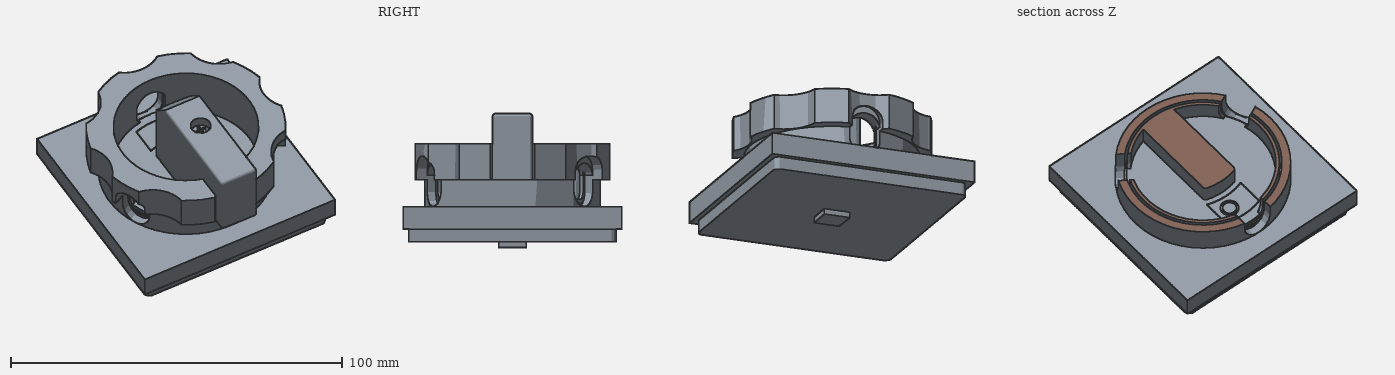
import cadquery as cq
import math

LOWER_PLATE_Z = 1.7
PLATE_Z = 5.6
DRUM_Z = 12.35
FLOOR_Z = 14.65
RING_Z = 20.45
RING_TOP_Z = 31.35
TOP_Z = 40.5

PLATE_SIZE = 66.0
LOWER_PLATE_SIZE = 62.65
LOWER_PLATE_CORNER_RADIUS = 2.0
TAB_SIZE = 8.3

DRUM_RADIUS = 26.5
RING_RADIUS = 30.1
BORE_RADIUS = 21.9
SCALLOP_COUNT = 8
SCALLOP_RADIUS = 10.75
SCALLOP_VALLEY_RADIUS = 27.05

SLOT_DIRECTIONS = (180, 55, -65)
SLOT_WIDTH = 9.9
SLOT_BOTTOM_Z = 12.4
SLOT_TOP_Z = 27.6
INNER_SLOT_BOTTOM_Z = 13.2
INNER_SLOT_TOP_Z = 25.5
INNER_SLOT_END_DIAMETER = 10.4

GAP_OUTER_RADIUS = 23.75
GAP_INNER_RADIUS = 23.1
GAP_BOTTOM_Z = 13.45
GAP_TOP_Z = 22.8

GRIP_WIDTH = 12.15
GRIP_NOSE_X = -9.1
GRIP_NOSE_RADIUS = 19.8
GRIP_NOSE_Z = 33.1
GRIP_END_X = PLATE_SIZE / 2
GRIP_EDGE_RADIUS = 1.1

SCREW_X = 9.0
SCREW_HOLE_RADIUS = 3.05
SCREW_RIM_DEPTH = 3.2
SCREW_DOME_HEIGHT = 1.4
CROSS_LENGTH = 3.3
CROSS_WIDTH = 0.65
CROSS_DEPTH = 0.8

LABEL_LEFT_X = -19.85
LABEL_RIGHT_X = -11.0
LABEL_WIDTH = 13.2
LABEL_SIDE_RADIUS = 19.8
LABEL_HEIGHT = 0.2
MARK_X = -15.2
MARK_Y = 2.05
MARK_OUTER_RADIUS = 2.8
MARK_INNER_RADIUS = 2.1


def cylinder(radius, z_bottom, z_top):
    return cq.Workplane("XY").workplane(offset=z_bottom).circle(radius).extrude(z_top - z_bottom)


def square_block(size, z_bottom, z_top):
    return cq.Workplane("XY").workplane(offset=z_bottom).rect(size, size).extrude(z_top - z_bottom)


def arc_sag(radius, chord):
    """Height of a circular arc over its chord."""
    return radius - math.sqrt(radius**2 - (chord / 2) ** 2)


def make_base():
    lower_plate = square_block(LOWER_PLATE_SIZE, LOWER_PLATE_Z, PLATE_Z)
    lower_plate = lower_plate.edges("|Z").fillet(LOWER_PLATE_CORNER_RADIUS)
    tab = square_block(TAB_SIZE, 0, LOWER_PLATE_Z)
    return square_block(PLATE_SIZE, PLATE_Z, DRUM_Z).union(lower_plate).union(tab)


def make_ring():
    """Hand ring with evenly spaced finger scallops."""
    scallops = (
        cq.Workplane("XY")
        .workplane(offset=RING_Z)
        .polarArray(SCALLOP_VALLEY_RADIUS + SCALLOP_RADIUS, 0, 360, SCALLOP_COUNT)
        .circle(SCALLOP_RADIUS)
        .extrude(RING_TOP_Z - RING_Z)
    )
    return cylinder(RING_RADIUS, RING_Z, RING_TOP_Z).cut(scallops)


def radial_slot(width, z_bottom, z_top, r_end):
    """Upright round-ended bar along +X, from the axis to r_end."""
    return (
        cq.Workplane("YZ")
        .center(0, (z_bottom + z_top) / 2)
        .slot2D(z_top - z_bottom, width, 90)
        .extrude(r_end)
    )


def make_slot_cutter():
    """Tall slot through the ring and drum wall, lower slot with flatter ends through to the bore."""
    tall_slot = radial_slot(SLOT_WIDTH, SLOT_BOTTOM_Z, SLOT_TOP_Z, PLATE_SIZE / 2)
    flatter_bar = radial_slot(INNER_SLOT_END_DIAMETER, INNER_SLOT_BOTTOM_Z, INNER_SLOT_TOP_Z, DRUM_RADIUS)
    inner_slot = tall_slot.intersect(flatter_bar).intersect(cylinder(DRUM_RADIUS, FLOOR_Z, TOP_Z))
    kept_core = cylinder(GAP_OUTER_RADIUS, 0, RING_Z).union(cylinder(DRUM_RADIUS, RING_Z, TOP_Z))
    return tall_slot.cut(kept_core).union(inner_slot)


def make_knob():
    """Drum and ring with a blind bore, a hidden clearance gap and the padlock slots."""
    knob = cylinder(DRUM_RADIUS, DRUM_Z, RING_Z).union(make_ring())
    knob = knob.cut(cylinder(BORE_RADIUS, FLOOR_Z, RING_TOP_Z))
    gap = cylinder(GAP_OUTER_RADIUS, GAP_BOTTOM_Z, GAP_TOP_Z)
    knob = knob.cut(gap.cut(cylinder(GAP_INNER_RADIUS, GAP_BOTTOM_Z, GAP_TOP_Z)))
    cutter = make_slot_cutter()
    for direction in SLOT_DIRECTIONS:
        knob = knob.cut(cutter.rotate((0, 0, 0), (0, 0, 1), direction))
    return knob


def make_grip():
    """Bar with a rounded, sloping nose; the overhang outside the bore starts at the ring underside."""
    half_width = GRIP_WIDTH / 2
    nose_corner_x = GRIP_NOSE_X + arc_sag(GRIP_NOSE_RADIUS, GRIP_WIDTH)
    grip = (
        cq.Workplane("XY")
        .workplane(offset=FLOOR_Z)
        .moveTo(GRIP_END_X, -half_width)
        .lineTo(GRIP_END_X, half_width)
        .lineTo(nose_corner_x, half_width)
        .threePointArc((GRIP_NOSE_X, 0), (nose_corner_x, -half_width))
        .close()
        .extrude(TOP_Z - FLOOR_Z)
        .edges("|Z")
        .fillet(GRIP_EDGE_RADIUS)
        .faces(">Z")
        .edges()
        .fillet(GRIP_EDGE_RADIUS)
    )
    slope_run = TOP_Z - GRIP_NOSE_Z
    nose_slope = (
        cq.Workplane("XZ")
        .moveTo(GRIP_NOSE_X, GRIP_NOSE_Z)
        .lineTo(GRIP_NOSE_X + slope_run, TOP_Z)
        .lineTo(GRIP_NOSE_X, TOP_Z)
        .close()
        .extrude(half_width, both=True)
    )
    below_overhang = square_block(PLATE_SIZE, 0, RING_Z).cut(cylinder(BORE_RADIUS, 0, RING_Z))
    return grip.cut(nose_slope).cut(below_overhang)


def make_screw_recess():
    """Round hole whose bottom is a domed screw head with a cross recess."""
    rim_z = TOP_Z - SCREW_RIM_DEPTH
    apex_z = rim_z + SCREW_DOME_HEIGHT
    dome_radius = (SCREW_HOLE_RADIUS**2 + SCREW_DOME_HEIGHT**2) / (2 * SCREW_DOME_HEIGHT)
    dome = cq.Workplane("XY").sphere(dome_radius).translate((0, 0, apex_z - dome_radius))
    recess = cylinder(SCREW_HOLE_RADIUS, rim_z, TOP_Z).cut(dome)
    for length_x, length_y in ((CROSS_LENGTH, CROSS_WIDTH), (CROSS_WIDTH, CROSS_LENGTH)):
        arm = cq.Workplane("XY").workplane(offset=apex_z - CROSS_DEPTH)
        recess = recess.union(arm.rect(length_x, length_y).extrude(CROSS_DEPTH))
    return recess.translate((SCREW_X, 0, 0))


def make_label():
    """Thin raised label with parallel arc sides and a ring-shaped groove."""
    half_width = LABEL_WIDTH / 2
    sag = arc_sag(LABEL_SIDE_RADIUS, LABEL_WIDTH)
    label = (
        cq.Workplane("XY")
        .workplane(offset=FLOOR_Z)
        .moveTo(LABEL_LEFT_X + sag, half_width)
        .lineTo(LABEL_RIGHT_X + sag, half_width)
        .threePointArc((LABEL_RIGHT_X, 0), (LABEL_RIGHT_X + sag, -half_width))
        .lineTo(LABEL_LEFT_X + sag, -half_width)
        .threePointArc((LABEL_LEFT_X, 0), (LABEL_LEFT_X + sag, half_width))
        .close()
        .extrude(LABEL_HEIGHT)
    )
    groove = (
        cylinder(MARK_OUTER_RADIUS, FLOOR_Z, FLOOR_Z + LABEL_HEIGHT)
        .cut(cylinder(MARK_INNER_RADIUS, FLOOR_Z, FLOOR_Z + LABEL_HEIGHT))
        .translate((MARK_X, MARK_Y, 0))
    )
    return label.cut(groove)


result = (
    make_base()
    .union(make_knob())
    .union(make_grip())
    .union(make_label())
    .cut(make_screw_recess())
)